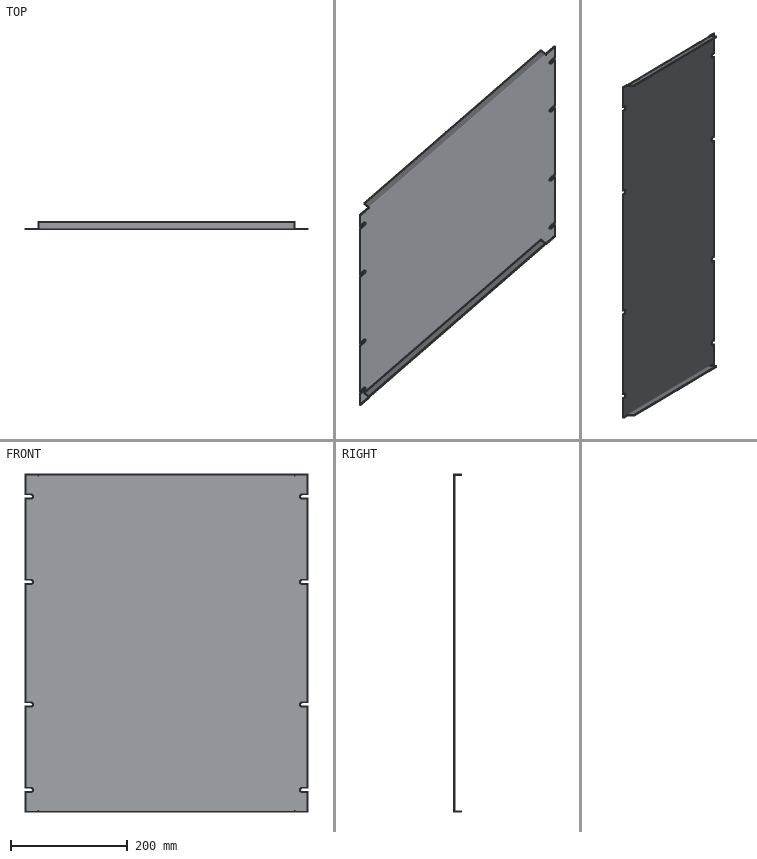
import cadquery as cq

panel_width = 482.6
panel_height = 577.04
sheet = 1.47

flange_width = 438.0
flange_reach = 12.7
bend_inner_radius = sheet / 2
bend_outer_radius = bend_inner_radius + sheet

slot_height = 6.8
slot_depth = 13.0
slot_levels = (104.775, 250.825)


def make_plate():
    """Flat front plate, outer face on y = 0, centred on X and Z."""
    return cq.Workplane("XY").box(panel_width, sheet, panel_height, centered=(True, False, True))


def make_channel():
    """Channel of front web and two bent flanges, as wide as the flanges."""
    channel = cq.Workplane("XY").box(flange_width, flange_reach, panel_height, centered=(True, False, True))
    channel = channel.edges("|X and <Y").fillet(bend_outer_radius)
    hollow = (
        cq.Workplane("XY")
        .box(flange_width, flange_reach, panel_height - 2 * sheet, centered=(True, False, True))
        .edges("|X and <Y")
        .fillet(bend_inner_radius)
        .translate((0, sheet, 0))
    )
    return channel.cut(hollow)


def trim_bends(plate):
    """Shorten the plate over the flange width, leaving room for the rounded bends."""
    half_height = panel_height / 2
    for side in (-1, 1):
        strip = cq.Workplane("XY").box(flange_width, 2 * sheet, 2 * bend_outer_radius)
        plate = plate.cut(strip.translate((0, sheet / 2, side * half_height)))
    return plate


def make_slot(side, level):
    """Cutter for one round-ended slot entering from a side edge."""
    radius = slot_height / 2
    edge_x = panel_width / 2
    centre_x = edge_x - slot_depth + radius
    straight = cq.Workplane("XY").box(2 * (edge_x - centre_x), 4 * sheet, slot_height)
    straight = straight.translate((side * edge_x, 0, level))
    round_end = cq.Workplane("XZ").center(side * centre_x, level).circle(radius).extrude(2 * sheet, both=True)
    return straight.union(round_end)


result = trim_bends(make_plate()).union(make_channel())
for side in (-1, 1):
    for level in slot_levels:
        for direction in (-1, 1):
            result = result.cut(make_slot(side, direction * level))